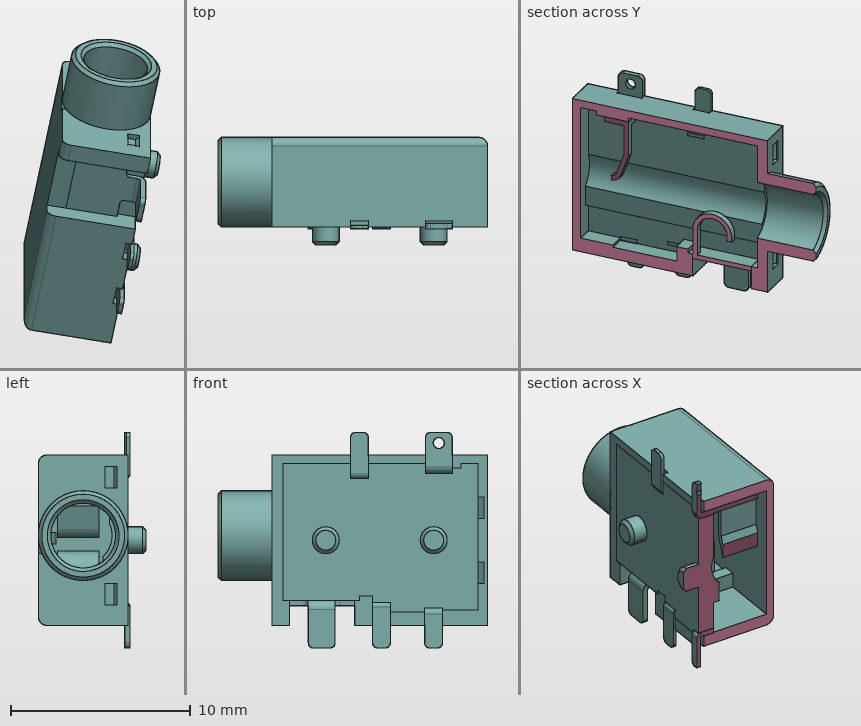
import cadquery as cq
import math


LENGTH = 15.0
DEPTH = 5.0
HEIGHT = 9.5
BARREL_LENGTH = 3.0
BARREL_AXIS_Z = 0.25
BARREL_AXIS_Y = DEPTH / 2
BORE_RADIUS = 1.8
BARREL_CHAMFER = 0.2
BACK_FILLET = 0.5
BACK_WALL = 0.5
SPAN = 12.0

COVER_THICKNESS = 1.04
COVER_LEFT = 3.63
COVER_RIGHT = 14.48
COVER_TOP = 4.26
COVER_BOTTOM_LEFT = -3.35
COVER_BOTTOM_MIDDLE = -4.0
COVER_BOTTOM_RIGHT = -3.87
CHANNEL_RADIUS = 1.6
RIB_BACK = 1.4
RIB_BOTTOM = -2.1

PEG_RADIUS = 0.75
PEG_LENGTH = 1.0
PEG_CHAMFER = 0.2
PEG_X = (6.0, 12.0)

TERMINAL_FRONT = -0.1
TIP_FILLET = 0.3
NARROW = 1.0
WIDE = 1.5
THIN_SHEET = 0.2
MEDIUM_SHEET = 0.25
THICK_SHEET = 0.3
SLOT_DEPTH = 0.35
SOLDER_HOLE_RADIUS = 0.3
SOLDER_HOLE_FROM_END = 0.6

SPRING_FRONT = 1.62
SPRING_BACK = 3.93

UPPER_SWITCH = dict(left=7.36, width=NARROW, sheet=THIN_SHEET, bend=0.24, leg=3.44, side=1,
                    leg_end=COVER_THICKNESS)
TIP = dict(left=11.54, width=WIDE, sheet=THICK_SHEET, bend=0.36, leg=3.72, side=1,
           leg_end=SPRING_BACK)
LOWER_SWITCH = dict(left=8.6, width=NARROW, sheet=THIN_SHEET, bend=0.24, leg=3.46, side=-1,
                    leg_end=COVER_THICKNESS)
RING = dict(left=11.49, width=NARROW, sheet=MEDIUM_SHEET, bend=0.32, leg=3.78, side=-1,
            leg_end=COVER_THICKNESS)
SLEEVE = dict(left=5.02, width=WIDE, sheet=THICK_SHEET, bend=0.51, leg=-COVER_BOTTOM_LEFT, side=-1,
              leg_end=COVER_THICKNESS)
SLOTTED = (UPPER_SWITCH, TIP, LOWER_SWITCH, RING)

TOP_KEY_RIGHT = 13.53
TOP_KEY_Z = TIP["leg"] + TIP["sheet"]
BOTTOM_KEY_LEFT = 7.88
BOTTOM_KEY_Z = -3.1

PLATE_LEFT = 3.99
PLATE_RIGHT = 7.6
PLATE_TOP = COVER_BOTTOM_LEFT
PLATE_BOTTOM = PLATE_TOP - THICK_SHEET
PLATE_FILLET = 0.24
ARCH_TOP = -0.6
ARCH_RADIUS = 1.2
ARCH_FREE_END = -2.1

TIP_SPRING_KNEE = 1.9
TIP_SPRING_SLOPE_END = 0.57
TIP_SPRING_TILT = math.radians(20)
TIP_SPRING_CURL = 0.63

LATCH_HEIGHT = 1.2
FRONT_WINDOW_FROM_AXIS = 3.25
FRONT_WINDOW_NEAR = 0.62
FRONT_WINDOW_FAR = 1.29
FRONT_WINDOW_DEPTH = 0.28
FRONT_WINDOW_RAMP = 0.18
REAR_LATCH_Z = 1.82
REAR_LATCH_RAMP_WIDTH = 0.33
REAR_LATCH_RAMP_DEPTH = 0.25

BACK_NOTCH_HEIGHT = 1.5
BACK_NOTCH_X = 0.25
BACK_NOTCH_Y = 0.3
STOP_BOTTOM = -0.21
STOP_TOP = 0.42
STOP_FRONT = 4.02
STOP_LENGTH = 1.35


def box(x0, x1, y0, y1, z0, z1):
    """Box between two values on each axis."""
    return cq.Workplane("XY").box(x1 - x0, y1 - y0, z1 - z0, centered=False).translate((x0, y0, z0))


def plug_cylinder(radius, x0, x1):
    """Cylinder around the barrel axis."""
    return (
        cq.Workplane("YZ", origin=(x0, BARREL_AXIS_Y, BARREL_AXIS_Z))
        .circle(radius)
        .extrude(x1 - x0)
    )


def prism_along_y(points, y0, y1):
    """Prism from an outline of (x, z) points."""
    return cq.Workplane("XZ", origin=(0, y0, 0)).polyline(points).close().extrude(y0 - y1)


def prism_along_z(points, z0, z1):
    """Prism from an outline of (x, y) points."""
    return cq.Workplane("XY", origin=(0, 0, z0)).polyline(points).close().extrude(z1 - z0)


def cover_outline():
    """Outline shared by the cover and the cavity it closes."""
    lower_switch_left = LOWER_SWITCH["left"]
    ring_right = RING["left"] + RING["width"]
    return [
        (COVER_LEFT, COVER_TOP),
        (TIP["left"], COVER_TOP),
        (TIP["left"], TOP_KEY_Z),
        (TOP_KEY_RIGHT, TOP_KEY_Z),
        (TOP_KEY_RIGHT, COVER_TOP),
        (COVER_RIGHT, COVER_TOP),
        (COVER_RIGHT, COVER_BOTTOM_RIGHT),
        (ring_right, COVER_BOTTOM_RIGHT),
        (ring_right, COVER_BOTTOM_MIDDLE),
        (lower_switch_left, COVER_BOTTOM_MIDDLE),
        (lower_switch_left, BOTTOM_KEY_Z),
        (BOTTOM_KEY_LEFT, BOTTOM_KEY_Z),
        (BOTTOM_KEY_LEFT, COVER_BOTTOM_LEFT),
        (COVER_LEFT, COVER_BOTTOM_LEFT),
    ]


def terminal_slot(spec):
    """Space for a terminal: an open notch for its outer part and a passage for its leg."""
    right = spec["left"] + spec["width"]
    leg = spec["side"] * spec["leg"]
    outside = spec["side"] * SPAN / 2
    leg_far_face = leg + spec["side"] * spec["sheet"]
    notch = box(spec["left"], right, 0, SLOT_DEPTH, min(leg, outside), max(leg, outside))
    passage = box(spec["left"], right, 0, spec["leg_end"],
                  min(leg, leg_far_face), max(leg, leg_far_face))
    return notch.union(passage)


def front_window(z):
    """Shallow window in the barrel end wall, with one sloping side."""
    floor = BARREL_LENGTH + FRONT_WINDOW_DEPTH
    outline = [
        (BARREL_LENGTH, FRONT_WINDOW_FAR),
        (floor, FRONT_WINDOW_FAR),
        (floor, FRONT_WINDOW_NEAR + FRONT_WINDOW_RAMP),
        (floor - FRONT_WINDOW_RAMP, FRONT_WINDOW_NEAR),
        (BARREL_LENGTH, FRONT_WINDOW_NEAR),
    ]
    return prism_along_z(outline, z - LATCH_HEIGHT / 2, z + LATCH_HEIGHT / 2)


def rear_latch_ramp(z):
    """Sloping lead-in cut into the far end wall beside the cover."""
    outline = [
        (COVER_RIGHT, 0),
        (COVER_RIGHT + REAR_LATCH_RAMP_WIDTH, 0),
        (COVER_RIGHT, REAR_LATCH_RAMP_DEPTH),
    ]
    return prism_along_z(outline, z - LATCH_HEIGHT / 2, z + LATCH_HEIGHT / 2)


def make_housing():
    block = box(BARREL_LENGTH, LENGTH, 0, DEPTH, -HEIGHT / 2, HEIGHT / 2)
    block = block.edges(">Y and (>Z or <Z or >X)").fillet(BACK_FILLET)

    notch_outline = [
        (BARREL_LENGTH, DEPTH),
        (BARREL_LENGTH + BACK_NOTCH_X, DEPTH),
        (BARREL_LENGTH, DEPTH - BACK_NOTCH_Y),
    ]
    block = block.cut(prism_along_z(notch_outline, -BACK_NOTCH_HEIGHT / 2, BACK_NOTCH_HEIGHT / 2))

    bore = plug_cylinder(BORE_RADIUS, 0, COVER_LEFT)
    barrel = plug_cylinder(DEPTH / 2, 0, BARREL_LENGTH).cut(bore)
    barrel = barrel.faces("<X").edges().chamfer(BARREL_CHAMFER)
    housing = block.cut(bore).union(barrel)

    back_wall_inside = DEPTH - BACK_WALL
    housing = housing.cut(prism_along_y(cover_outline(), 0, back_wall_inside))

    housing = housing.cut(box(PLATE_LEFT, PLATE_RIGHT, 0, DEPTH, -HEIGHT / 2, PLATE_BOTTOM))
    housing = housing.cut(box(PLATE_LEFT, PLATE_RIGHT, 0, SPRING_BACK, PLATE_BOTTOM, PLATE_TOP))

    for spec in SLOTTED:
        housing = housing.cut(terminal_slot(spec))
    for side in (1, -1):
        housing = housing.cut(front_window(BARREL_AXIS_Z + side * FRONT_WINDOW_FROM_AXIS))
        housing = housing.cut(rear_latch_ramp(side * REAR_LATCH_Z))

    stop_outline = [
        (COVER_LEFT, back_wall_inside),
        (COVER_LEFT + STOP_LENGTH, back_wall_inside),
        (COVER_LEFT + STOP_LENGTH, STOP_FRONT),
    ]
    return housing.union(prism_along_z(stop_outline, STOP_BOTTOM, STOP_TOP))


def make_cover():
    cover = prism_along_y(cover_outline(), 0, COVER_THICKNESS)
    rib = box(COVER_LEFT, COVER_RIGHT, COVER_THICKNESS, RIB_BACK, RIB_BOTTOM, BARREL_AXIS_Z)
    cover = cover.union(rib).cut(plug_cylinder(CHANNEL_RADIUS, COVER_LEFT, COVER_RIGHT))
    for x in PEG_X:
        peg = cq.Workplane("XZ", origin=(x, 0, 0)).circle(PEG_RADIUS).extrude(PEG_LENGTH)
        cover = cover.union(peg.faces("<Y").chamfer(PEG_CHAMFER))
    for spec in SLOTTED:
        cover = cover.cut(terminal_slot(spec))
    return cover


def make_terminal(spec):
    """Bent strip: a flat tab on the mounting face and a leg that turns inward along Y."""
    sheet = spec["sheet"]
    outer = spec["bend"]
    inner = outer - sheet
    side = spec["side"]
    leg = spec["leg"]
    bend_y = TERMINAL_FRONT + outer
    bend_z = leg + outer
    half_root = math.sqrt(0.5)

    def point(y, z):
        return (y, side * z)

    tab = (
        cq.Workplane("YZ", origin=(spec["left"], 0, 0))
        .moveTo(*point(TERMINAL_FRONT, SPAN / 2))
        .lineTo(*point(TERMINAL_FRONT, bend_z))
        .threePointArc(point(bend_y - outer * half_root, bend_z - outer * half_root),
                       point(bend_y, leg))
        .lineTo(*point(spec["leg_end"], leg))
        .lineTo(*point(spec["leg_end"], leg + sheet))
        .lineTo(*point(bend_y, leg + sheet))
        .threePointArc(point(bend_y - inner * half_root, bend_z - inner * half_root),
                       point(TERMINAL_FRONT + sheet, bend_z))
        .lineTo(*point(TERMINAL_FRONT + sheet, SPAN / 2))
        .close()
        .extrude(spec["width"])
    )
    tip = ">Z" if side > 0 else "<Z"
    return tab.faces(tip).edges("|Y").fillet(TIP_FILLET)


def make_tip_terminal():
    terminal = make_terminal(TIP)

    hole = (
        cq.Workplane("XZ", origin=(TIP["left"] + TIP["width"] / 2, 0, SPAN / 2 - SOLDER_HOLE_FROM_END))
        .circle(SOLDER_HOLE_RADIUS)
        .extrude(DEPTH, both=True)
    )

    left = TIP["left"]
    cos_tilt = math.cos(TIP_SPRING_TILT)
    sin_tilt = math.sin(TIP_SPRING_TILT)
    slope_x = left + (TIP_SPRING_KNEE - TIP_SPRING_SLOPE_END) * math.tan(TIP_SPRING_TILT)
    curl_x = slope_x + TIP_SPRING_CURL * cos_tilt
    curl_z = TIP_SPRING_SLOPE_END + TIP_SPRING_CURL * sin_tilt
    inner_curl = TIP_SPRING_CURL - THICK_SHEET
    mid_angle = (TIP_SPRING_TILT + math.pi / 2) / 2

    def on_curl(radius, angle):
        return (curl_x - radius * math.cos(angle), curl_z - radius * math.sin(angle))

    inner_start = on_curl(inner_curl, TIP_SPRING_TILT)
    inner_knee_x = left + THICK_SHEET
    inner_knee_z = inner_start[1] + (inner_start[0] - inner_knee_x) / math.tan(TIP_SPRING_TILT)
    spring = (
        cq.Workplane("XZ", origin=(0, SPRING_FRONT, 0))
        .moveTo(left, TIP["leg"])
        .lineTo(left, TIP_SPRING_KNEE)
        .lineTo(slope_x, TIP_SPRING_SLOPE_END)
        .threePointArc(on_curl(TIP_SPRING_CURL, mid_angle), on_curl(TIP_SPRING_CURL, math.pi / 2))
        .lineTo(*on_curl(inner_curl, math.pi / 2))
        .threePointArc(on_curl(inner_curl, mid_angle), inner_start)
        .lineTo(inner_knee_x, inner_knee_z)
        .lineTo(inner_knee_x, TIP["leg"])
        .close()
        .extrude(SPRING_FRONT - SPRING_BACK)
    )
    return terminal.cut(hole).union(spring)


def make_sleeve_terminal():
    plate = box(PLATE_LEFT, PLATE_RIGHT, COVER_THICKNESS, SPRING_BACK, PLATE_BOTTOM, PLATE_TOP)
    terminal = make_terminal(SLEEVE).union(plate)
    for x in (SLEEVE["left"], SLEEVE["left"] + SLEEVE["width"]):
        corner = cq.selectors.NearestToPointSelector((x, COVER_THICKNESS, PLATE_TOP - THICK_SHEET / 2))
        terminal = terminal.edges("|Z").edges(corner).fillet(PLATE_FILLET)

    inner_radius = ARCH_RADIUS - THICK_SHEET
    arch_x = PLATE_RIGHT - ARCH_RADIUS
    arch_z = ARCH_TOP - ARCH_RADIUS
    spring = (
        cq.Workplane("XZ", origin=(0, SPRING_FRONT, 0))
        .moveTo(PLATE_RIGHT, PLATE_TOP)
        .lineTo(PLATE_RIGHT, arch_z)
        .threePointArc((arch_x, ARCH_TOP), (arch_x - ARCH_RADIUS, arch_z))
        .lineTo(arch_x - ARCH_RADIUS, ARCH_FREE_END)
        .lineTo(arch_x - inner_radius, ARCH_FREE_END)
        .lineTo(arch_x - inner_radius, arch_z)
        .threePointArc((arch_x, ARCH_TOP - THICK_SHEET), (arch_x + inner_radius, arch_z))
        .lineTo(arch_x + inner_radius, PLATE_TOP)
        .close()
        .extrude(SPRING_FRONT - SPRING_BACK)
    )
    return terminal.union(spring)


housing = make_housing()
cover = make_cover()
switch_terminals = [make_terminal(spec) for spec in (UPPER_SWITCH, LOWER_SWITCH)]
ring_terminal = make_terminal(RING)
tip_terminal = make_tip_terminal()
sleeve_terminal = make_sleeve_terminal()

bodies = [
    housing,
    cover,
    *switch_terminals,
    ring_terminal,
    tip_terminal,
    sleeve_terminal,
]
result = cq.Compound.makeCompound([body.solids().val() for body in bodies])